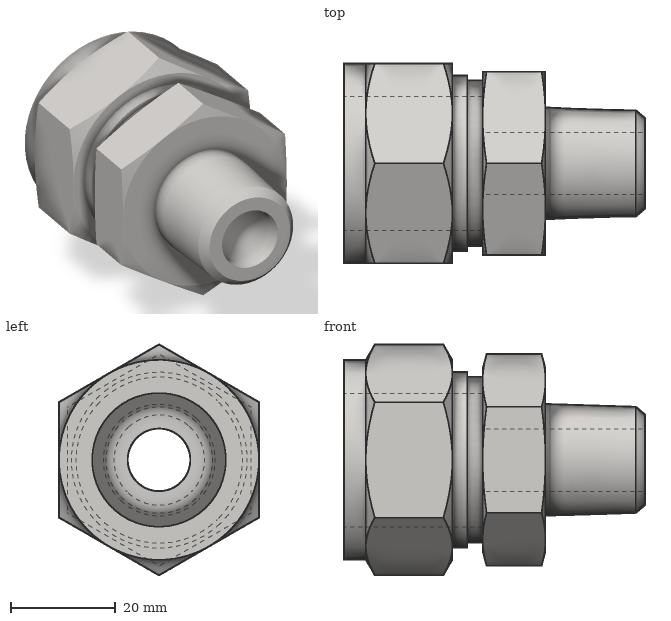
import cadquery as cq
import math

collar_end = 4.2
nut_end = 20.65
shoulder_end = 23.55
neck_end = 26.45
body_hex_end = 38.4
thread_taper_start = 39.25
thread_chamfer_start = 55.6
overall_length = 57.4

nut_across_flats = 38.1
nut_chamfer_angle = 30.0
body_across_flats = 34.95
body_chamfer_angle = 15.0

collar_diameter = nut_across_flats
shoulder_diameter = 33.5
neck_diameter = 31.7
thread_diameter = 21.3
thread_tip_diameter = 17.2
thread_taper = 1 / 16

tube_bore_diameter = 25.5
tube_bore_depth = neck_end
through_bore_diameter = 11.9


def cylinder(start, end, diameter):
    """Cylinder along X between two stations."""
    return cq.Workplane("YZ", origin=(start, 0, 0)).circle(diameter / 2).extrude(end - start)


def revolve_about_x(profile_points):
    """Revolve a closed (x, radius) profile about the X axis."""
    return cq.Workplane("XZ").polyline(profile_points).close().revolve(360, (0, 0, 0), (1, 0, 0))


def chamfered_hexagon(start, end, across_flats, chamfer_angle):
    """Hexagonal prism along X whose corners are turned down to the flats at both ends."""
    flat_radius = across_flats / 2
    corner_radius = flat_radius / math.cos(math.radians(30))
    chamfer_slope = math.tan(math.radians(chamfer_angle))
    chamfer_length = (corner_radius - flat_radius) * chamfer_slope

    prism = (
        cq.Workplane("YZ", origin=(start, 0, 0))
        .polygon(6, 2 * corner_radius)
        .extrude(end - start)
        .rotate((0, 0, 0), (1, 0, 0), 90)
    )
    turned_envelope = revolve_about_x([
        (start, 0),
        (start, flat_radius),
        (start + chamfer_length, corner_radius),
        (end - chamfer_length, corner_radius),
        (end, flat_radius),
        (end, 0),
    ])
    return prism.intersect(turned_envelope)


def tapered_thread():
    """Pipe thread blank: short straight run, taper, then a chamfered tip."""
    taper_length = thread_chamfer_start - thread_taper_start
    taper_end_diameter = thread_diameter - thread_taper * taper_length
    return revolve_about_x([
        (body_hex_end, 0),
        (body_hex_end, thread_diameter / 2),
        (thread_taper_start, thread_diameter / 2),
        (thread_chamfer_start, taper_end_diameter / 2),
        (overall_length, thread_tip_diameter / 2),
        (overall_length, 0),
    ])


collar = cylinder(0, collar_end, collar_diameter)
nut = chamfered_hexagon(collar_end, nut_end, nut_across_flats, nut_chamfer_angle)
shoulder = cylinder(nut_end, shoulder_end, shoulder_diameter)
neck = cylinder(shoulder_end, neck_end, neck_diameter)
body_hex = chamfered_hexagon(neck_end, body_hex_end, body_across_flats, body_chamfer_angle)

fitting = collar.union(nut).union(shoulder).union(neck).union(body_hex).union(tapered_thread())

tube_bore = cylinder(0, tube_bore_depth, tube_bore_diameter)
through_bore = cylinder(0, overall_length, through_bore_diameter)

result = fitting.cut(tube_bore).cut(through_bore)